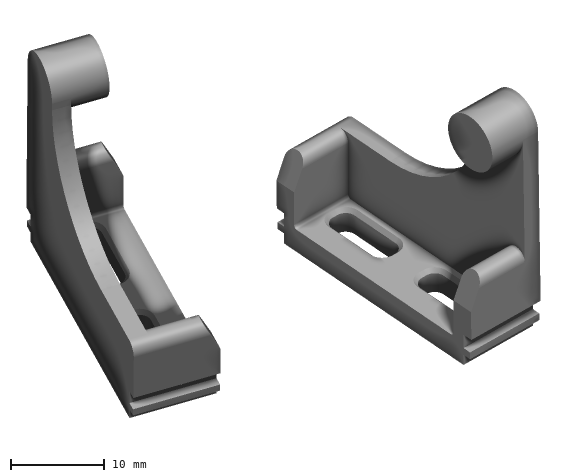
import cadquery as cq
import math

WIDTH = 30.85
HEIGHT = 30.3
DEPTH = 10.0
CENTRE_X = WIDTH / 2

BASE_WIDTH = 28.38
TONGUE_WIDTH = 30.42
TONGUE_BOTTOM = 1.35
TONGUE_TOP = 2.28
LEDGE_Z = 4.1
LEDGE_ANGLE = 1

LEAN_ANGLE = 1

PLATE_THICKNESS = 2.2
RIM_Z = 11.8
EDGE_RADIUS = 1.35
BOSS_DIAMETER = 7.0
BOSS_DEPTH = 6.6
SWEEP_RADIUS = 14.0

TRAY_WIDTH = 25.17
FLOOR_Z = 3.0
FLOOR_FILLET = 0.45
BEVEL_Z = 7.85
BEVEL_RUN = 1.8

SLOT_SPACING = 14.07
SLOT_LENGTH = 9.07
SLOT_WIDTH = 3.27
SLOT_CORNER = 1.3
SLOT_CHAMFER = 0.45

LEAN = math.radians(LEAN_ANGLE)
BOSS_RADIUS = BOSS_DIAMETER / 2
BOSS_Z = HEIGHT - BOSS_RADIUS


def left_side(z):
    """X of the left side at height z."""
    return (z - LEDGE_Z) * math.tan(LEAN)


ROUNDING_Z = RIM_Z - EDGE_RADIUS
ROUNDING_X = WIDTH - EDGE_RADIUS
LEDGE_WIDTH = ROUNDING_X + EDGE_RADIUS / math.cos(LEAN) - left_side(ROUNDING_Z)


def right_side(z):
    """X of the right side at height z."""
    return LEDGE_WIDTH + left_side(z)


BOSS_X = left_side(BOSS_Z) + BOSS_RADIUS / math.cos(LEAN)


def centred_block(width, depth, z_min, z_max):
    """Block from the front face back to the given depth, centred across the part."""
    block = cq.Workplane("XY").box(width, depth, z_max - z_min, centered=(True, False, False))
    return block.translate((CENTRE_X, 0, z_min))


def make_body(depth):
    """Grooved base and the leaning body above it, solid up to the rim."""
    base_left = CENTRE_X - BASE_WIDTH / 2
    base_right = CENTRE_X + BASE_WIDTH / 2
    base_top = LEDGE_Z - base_left * math.tan(math.radians(LEDGE_ANGLE))
    upper_outline = [
        (0, LEDGE_Z),
        (base_left, base_top),
        (base_right, base_top),
        (LEDGE_WIDTH, LEDGE_Z),
        (right_side(RIM_Z), RIM_Z),
        (left_side(RIM_Z), RIM_Z),
    ]
    upper = cq.Workplane("XZ").polyline(upper_outline).close().extrude(-depth)
    base = centred_block(BASE_WIDTH, depth, 0, base_top)
    tongues = centred_block(TONGUE_WIDTH, depth, TONGUE_BOTTOM, TONGUE_TOP)
    return upper.union(base).union(tongues)


def make_slot(x):
    """Rounded slot through the floor, flared at 45 degrees around its upper edge."""
    corners = cq.Sketch().rect(SLOT_LENGTH, SLOT_WIDTH).vertices().fillet(SLOT_CORNER)
    opening = cq.Workplane("XY").placeSketch(corners).extrude(FLOOR_Z)
    flare = (
        cq.Workplane("XY", origin=(0, 0, FLOOR_Z - SLOT_CHAMFER))
        .placeSketch(corners)
        .extrude(SLOT_CHAMFER, taper=-45)
    )
    return opening.union(flare).translate((x, DEPTH / 2, 0))


def make_tray():
    """Floor with two slots between side walls that have rounded tops and bevelled backs."""
    space = centred_block(TRAY_WIDTH, DEPTH, FLOOR_Z, RIM_Z).edges("|Y and <Z").fillet(FLOOR_FILLET)
    tray = make_body(DEPTH).cut(space)
    tray = tray.faces(">Z").edges("|Y").fillet(EDGE_RADIUS)
    bevel_outline = [(DEPTH, BEVEL_Z), (DEPTH, RIM_Z), (DEPTH - BEVEL_RUN, RIM_Z)]
    bevel = cq.Workplane("YZ").polyline(bevel_outline).close().extrude(right_side(RIM_Z))
    tray = tray.cut(bevel)
    for side in (-1, 1):
        tray = tray.cut(make_slot(CENTRE_X + side * SLOT_SPACING / 2))
    return tray


def make_plate():
    """Front plate, rising at the left and sweeping down to the rim at the right."""
    low_part = make_body(PLATE_THICKNESS)
    low_part = low_part.faces(">Z").edges("|Y and >X").fillet(EDGE_RADIUS)
    boss_right = BOSS_X + BOSS_RADIUS
    sweep_x = boss_right + SWEEP_RADIUS
    sweep_z = RIM_Z + SWEEP_RADIUS
    diagonal = SWEEP_RADIUS * math.sqrt(0.5)
    touch_z = BOSS_Z + BOSS_RADIUS * math.sin(LEAN)
    high_part = (
        cq.Workplane("XZ")
        .moveTo(0, LEDGE_Z)
        .lineTo(left_side(touch_z), touch_z)
        .lineTo(BOSS_X, BOSS_Z)
        .lineTo(boss_right, BOSS_Z)
        .lineTo(boss_right, sweep_z)
        .threePointArc((sweep_x - diagonal, sweep_z - diagonal), (sweep_x, RIM_Z))
        .lineTo(sweep_x, LEDGE_Z)
        .close()
        .extrude(-PLATE_THICKNESS)
    )
    return low_part.union(high_part)


def make_boss():
    """Round boss at the top of the plate, reaching back over the tray."""
    return cq.Workplane("XZ").center(BOSS_X, BOSS_Z).circle(BOSS_RADIUS).extrude(-BOSS_DEPTH)


result = make_tray().union(make_plate()).union(make_boss()).clean()